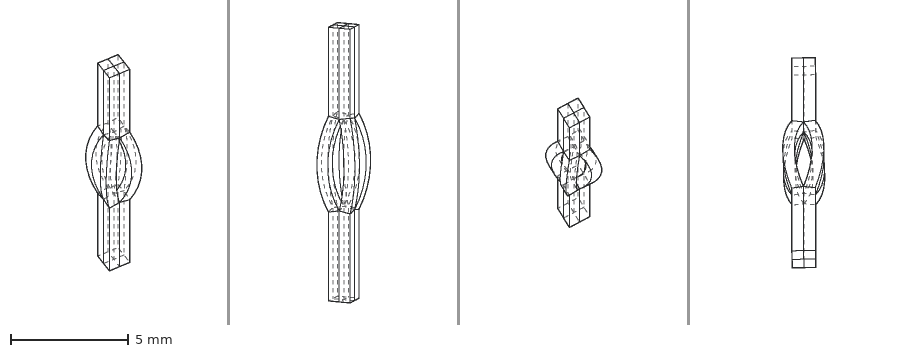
import cadquery as cq
import math

total_length = 12.0
outer_width = 2.5
wire_side = 0.5
bow_half_length = 2.0
wire_count = 4

half_diagonal = wire_side / math.sqrt(2)
half_length = total_length / 2

bow_rise = outer_width / 2 - 2 * half_diagonal
bow_radius = (bow_half_length**2 + bow_rise**2) / (2 * bow_rise)
bend_angle = math.asin(bow_half_length / bow_radius)
miter_slope = math.tan(bend_angle / 2)


def diamond(center_x):
    """Closed wire section with one corner pointing away from the axis."""
    return cq.Workplane("XY").center(center_x, 0).polyline([
        (-half_diagonal, 0),
        (0, -half_diagonal),
        (half_diagonal, 0),
        (0, half_diagonal),
    ]).close()


def miter_region(x_min, x_max):
    """Block between the two mitre planes where the wire bends."""
    def miter_height(x):
        return bow_half_length + (x - half_diagonal) * miter_slope

    return (
        cq.Workplane("XZ")
        .polyline([
            (x_min, -miter_height(x_min)),
            (x_max, -miter_height(x_max)),
            (x_max, miter_height(x_max)),
            (x_min, miter_height(x_min)),
        ])
        .close()
        .extrude(wire_side, both=True)
    )


def make_wire():
    """One wire on the +X side: two straight ends mitred to a bowed middle."""
    between_miters = miter_region(-wire_side, outer_width)
    straight = (
        diamond(half_diagonal)
        .extrude(half_length, both=True)
        .cut(between_miters)
    )
    bow = (
        diamond(half_diagonal + bow_rise)
        .revolve(360, (-bow_radius, 0), (-bow_radius, 1))
        .intersect(between_miters)
    )
    return straight.union(bow)


wires = []
for index in range(wire_count):
    angle = index * 360 / wire_count
    wire = make_wire().rotate((0, 0, 0), (0, 0, 1), angle)
    wires.append(wire.val())

result = cq.Compound.makeCompound(wires)